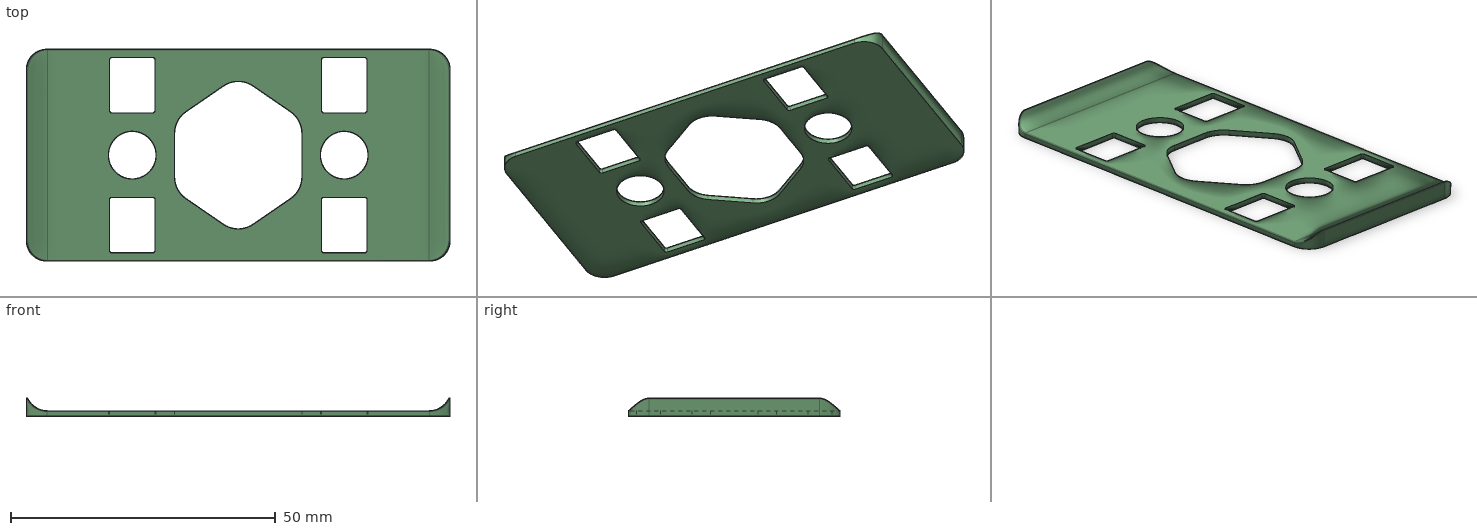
import cadquery as cq
import math

length = 80.0
width = 40.0
plate_thickness = 1.0
corner_radius = 3.9
lip_length = 4.0
lip_radius = 4.2
rim_radius = 0.14

opening_spacing = 40.0
round_hole_diameter = 9.0
window_length = 8.6
window_width = 10.4
window_offset = 13.2
window_corner_radius = 0.4
hexagon_length = 24.0
hexagon_tip_y = 15.0
hexagon_shoulder_y = 6.7
hexagon_corner_radius = 5.0


def lipped_plate():
    """Flat plate whose two ends sweep up in concave arcs to sharp crests."""
    half_length = length / 2
    bend_x = half_length - lip_length
    arc_angle = math.asin(lip_length / lip_radius)

    def arc_rise(angle):
        return lip_radius * (1 - math.cos(angle))

    crest_z = plate_thickness + arc_rise(arc_angle)
    middle_x = bend_x + lip_radius * math.sin(arc_angle / 2)
    middle_z = plate_thickness + arc_rise(arc_angle / 2)
    return (
        cq.Workplane("XZ")
        .moveTo(-half_length, 0)
        .lineTo(half_length, 0)
        .lineTo(half_length, crest_z)
        .threePointArc((middle_x, middle_z), (bend_x, plate_thickness))
        .lineTo(-bend_x, plate_thickness)
        .threePointArc((-middle_x, middle_z), (-half_length, crest_z))
        .close()
        .extrude(width / 2, both=True)
    )


def windows():
    """Four rectangular cutters with rounded corners."""
    return (
        cq.Workplane("XY")
        .rect(opening_spacing, 2 * window_offset, forConstruction=True)
        .vertices()
        .rect(window_length, window_width)
        .extrude(plate_thickness)
        .edges("|Z")
        .fillet(window_corner_radius)
    )


def round_holes():
    """Two round cutters on the long centre line."""
    return (
        cq.Workplane("XY")
        .pushPoints([(-opening_spacing / 2, 0), (opening_spacing / 2, 0)])
        .circle(round_hole_diameter / 2)
        .extrude(plate_thickness)
    )


def central_hexagon():
    """Elongated hexagonal cutter with rounded corners."""
    half_length = hexagon_length / 2
    corners = [
        (0, hexagon_tip_y),
        (half_length, hexagon_shoulder_y),
        (half_length, -hexagon_shoulder_y),
        (0, -hexagon_tip_y),
        (-half_length, -hexagon_shoulder_y),
        (-half_length, hexagon_shoulder_y),
    ]
    return (
        cq.Workplane("XY")
        .polyline(corners)
        .close()
        .extrude(plate_thickness)
        .edges("|Z")
        .fillet(hexagon_corner_radius)
    )


body = lipped_plate().edges("|Z").fillet(corner_radius)

body = body.faces("<Y").edges(">Z").fillet(rim_radius)

result = body.cut(windows()).cut(round_holes()).cut(central_hexagon())